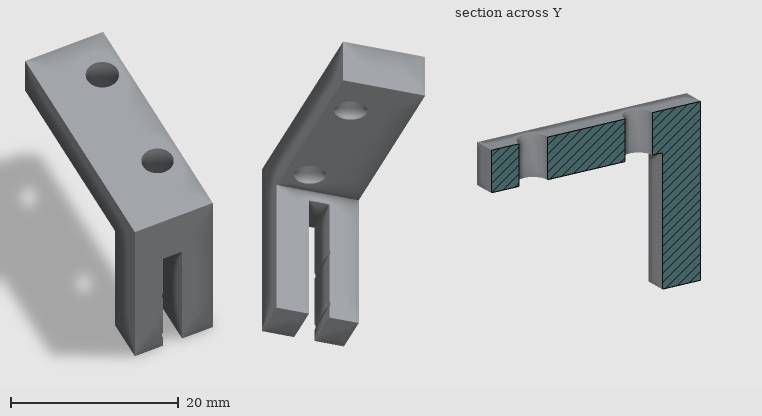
import cadquery as cq

length = 29.75
width = 10.35
height = 22.93
arm_thickness = 5.5
leg_thickness = 5.45

arm_holes = [(5.98, 4.0), (20.95, 3.87)]
hole_inset = 3.03

slot_width = 2.55
slot_inset = 4.07
slot_top_depth = 6.87

groove_depths = [13.68, 20.95]
groove_height = 0.85
groove_depth = 0.135
groove_radius = ((groove_height / 2) ** 2 + groove_depth**2) / (2 * groove_depth)

leg_start = length - leg_thickness
slot_wall = width - slot_inset - slot_width


def make_body():
    arm = cq.Workplane("XY").box(length, width, arm_thickness, centered=False)
    arm = arm.translate((0, 0, height - arm_thickness))
    leg = cq.Workplane("XY").box(leg_thickness, width, height, centered=False)
    return arm.union(leg.translate((leg_start, 0, 0)))


def make_arm_hole(from_end, diameter):
    hole = cq.Workplane("XY").circle(diameter / 2).extrude(height)
    return hole.translate((from_end, width - hole_inset, 0))


def make_slot():
    slot = cq.Workplane("XY").box(leg_thickness, slot_width, height - slot_top_depth, centered=False)
    return slot.translate((leg_start, slot_wall, 0))


def make_groove(below_top):
    groove = cq.Workplane("YZ").circle(groove_radius).extrude(leg_thickness)
    axis_y = slot_wall - groove_depth + groove_radius
    return groove.translate((leg_start, axis_y, height - below_top))


result = make_body().cut(make_slot())
for from_end, diameter in arm_holes:
    result = result.cut(make_arm_hole(from_end, diameter))
for below_top in groove_depths:
    result = result.cut(make_groove(below_top))